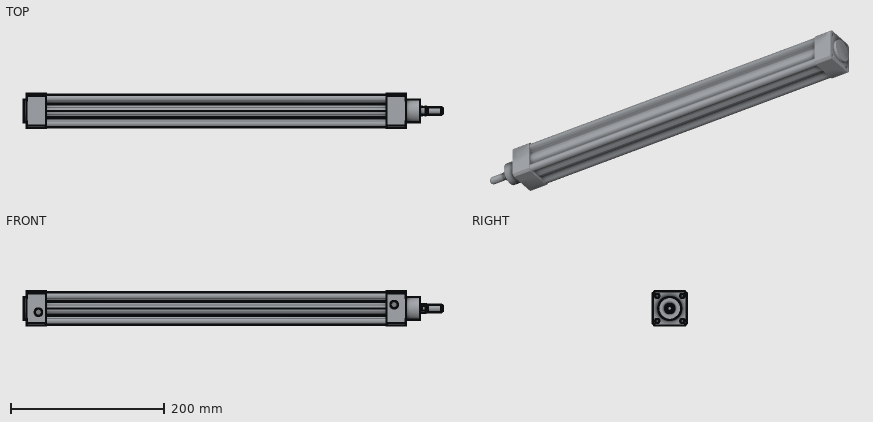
import cadquery as cq
import math

total_length = 546.0
boss_length = 4.0
cap_length = 25.0
front_cap_end = 498.0
neck_end = 516.5
rear_cap_end = boss_length + cap_length
front_cap_start = front_cap_end - cap_length

cap_size = 45.0
cap_turned_radius = 29.5
boss_radius = 15.0
screw_offset = 16.5
screw_radius = 3.0
screw_depth = 3.5
port_radius = 4.8
port_offset_x = 10.0
port_offset_z = 5.0
port_depth = 4.5

barrel_half_size = 21.5
lobe_radius = 5.0
lobe_center = barrel_half_size - lobe_radius
lobe_edge = 13.0
valley_outer = 10.0
valley_outer_height = 17.0
valley_inner = 8.0
valley_inner_height = 16.5
ridge_shoulder = 4.5
ridge_shoulder_height = 18.0
ridge_height = 19.0

rod_radius = 6.0
rod_shoulder = 525.0
rod_chamfer = 1.5
flat_start = 518.5
flat_end = rod_shoulder - rod_chamfer
flat_half_width = 5.2
relief_radius = 4.5
relief_length = 1.5
thread_radius = 5.0
tip_chamfer_length = 2.0
tip_chamfer_height = 1.5


def cylinder_x(radius, start, end):
    """Cylinder on the X axis between two positions."""
    return cq.Workplane("YZ", origin=(start, 0, 0)).circle(radius).extrude(end - start)


def cap_block(start):
    """Square cap whose corners are rounded by a turned cylinder about the axis."""
    block = cq.Workplane("YZ", origin=(start, 0, 0)).rect(cap_size, cap_size).extrude(cap_length)
    return block.intersect(cylinder_x(cap_turned_radius, start, start + cap_length))


def screw_holes(start):
    """Four blind corner holes running in +X from a start position."""
    pitch = 2 * screw_offset
    square = cq.Workplane("YZ", origin=(start, 0, 0)).rect(pitch, pitch, forConstruction=True)
    return square.vertices().circle(screw_radius).extrude(screw_depth)


def port(x, z):
    """Blind air port in the -Y face of a cap."""
    return cq.Workplane("XZ", origin=(x, port_depth - cap_size / 2, z)).circle(port_radius).extrude(port_depth)


def make_rear_cap():
    """Rear cap with a locating boss, corner holes and a low port."""
    cap = cap_block(boss_length).union(cylinder_x(boss_radius, 0, boss_length))
    cap = cap.cut(screw_holes(boss_length))
    return cap.cut(port(rear_cap_end - port_offset_x, -port_offset_z))


def make_front_cap():
    """Front cap with a neck, corner holes, a high port and the rod bore."""
    cap = cap_block(front_cap_start).union(cylinder_x(boss_radius, front_cap_end, neck_end))
    cap = cap.cut(screw_holes(front_cap_end - screw_depth))
    cap = cap.cut(port(front_cap_start + port_offset_x, port_offset_z))
    return cap.cut(cylinder_x(rod_radius, front_cap_start, neck_end))


def turned(point, quarter):
    """Point rotated about the axis by a number of quarter turns."""
    y, z = point
    for _ in range(quarter):
        y, z = -z, y
    return (y, z)


def make_barrel():
    """Extrude the section, tracing each of its four equal sides in turn."""
    lobe_height = lobe_center + math.sqrt(lobe_radius**2 - (lobe_center - lobe_edge) ** 2)
    lobe_tip = lobe_center + lobe_radius * math.sqrt(0.5)
    half_side = [
        (lobe_edge, lobe_height),
        (valley_outer, valley_outer_height),
        (valley_inner, valley_inner_height),
        (ridge_shoulder, ridge_shoulder_height),
    ]
    other_half = [(-y, z) for y, z in reversed(half_side)]
    side = half_side + [(0, ridge_height)] + other_half

    section = cq.Workplane("YZ", origin=(rear_cap_end, 0, 0)).moveTo(*side[0])
    for quarter in range(4):
        for point in side[1:]:
            section = section.lineTo(*turned(point, quarter))
        section = section.threePointArc(
            turned((-lobe_tip, lobe_tip), quarter),
            turned(side[0], quarter + 1),
        )
    return section.close().extrude(front_cap_start - rear_cap_end)


def make_rod():
    """Rod with two wrench flats, a relief groove and a threaded end."""
    relief_end = rod_shoulder + relief_length
    rod = cylinder_x(rod_radius, front_cap_start, rod_shoulder).faces(">X").chamfer(rod_chamfer)
    rod = rod.union(cylinder_x(relief_radius, rod_shoulder, relief_end))
    thread = cylinder_x(thread_radius, relief_end, total_length)
    thread = thread.faces(">X").chamfer(tip_chamfer_length, tip_chamfer_height)
    rod = rod.union(thread)
    flat_length = flat_end - flat_start
    flat_middle = (flat_start + flat_end) / 2
    for side in (-1, 1):
        cutter = cq.Workplane("XY").box(flat_length, rod_radius, 2 * rod_radius)
        rod = rod.cut(cutter.translate((flat_middle, side * (flat_half_width + rod_radius / 2), 0)))
    return rod


rear_cap = make_rear_cap()
front_cap = make_front_cap()
barrel = make_barrel()
rod = make_rod()

result = cq.Compound.makeCompound([rear_cap.val(), front_cap.val(), barrel.val(), rod.val()])